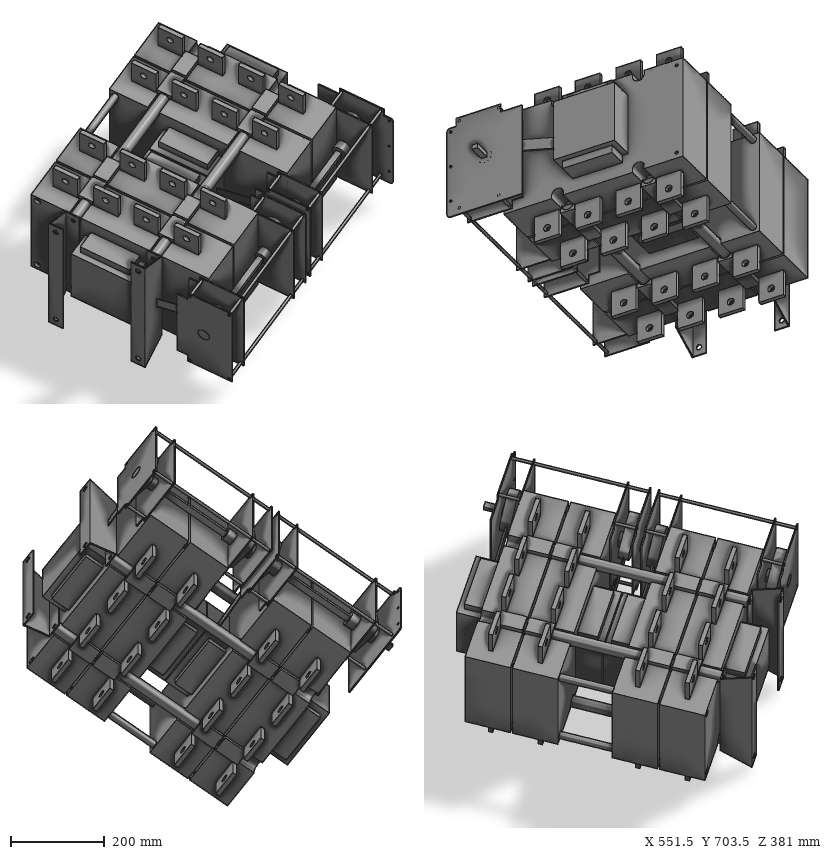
import cadquery as cq
import math

module_pitch = 327.0
module_offsets = (0, module_pitch)
module_front_y = 19.0
module_depth = 324.0
module_mid_y = module_front_y + module_depth / 2

pole_width = 441.0
pole_depth = 100.5
pole_height = 254.0
pole_gap = 5.0
pole_top_z = pole_height / 2
front_pole_y = module_mid_y - pole_gap / 2 - pole_depth
module_back_y = module_mid_y + pole_gap / 2 + pole_depth

terminal_width = 60.5
terminal_thickness = 10.0
terminal_height = 381.0
terminal_pitch = 100.0
terminal_count = 4
first_terminal_x = 60.0
terminal_front_y = 121.0
terminal_hole_z = 164.5
terminal_hole_diameter = 16.0

arc_box_x = 209.5
arc_box_width = 150.0
coil_width = 122.0
coil_depth = 45.0
coil_height = 187.0

tube_xs = (110.0, 309.0)
tube_z = 119.5
tube_diameter = 25.0
tube_start_y = 69.0
tube_end_y = 559.0
groove_width = 29.0
clip_width = 35.0
clip_top_z = 138.5
clip_recess = 3.5

tie_x = 15.5
tie_z = 112.5
tie_diameter = 16.0
tie_bore_diameter = 7.0
tie_recess = 7.0
spacer_x = pole_width - tie_x

bracket_left_xs = (90.0, 294.0)
bracket_width = 35.0
bracket_depth = 71.0
bracket_sheet = 3.0
bracket_front_height = 349.5
bracket_back_height = 277.0
bracket_hole_z = 155.0
bracket_hole_diameter = 13.0
tube_bolt_diameter = 10.5

shaft_x = 459.5
shaft_width = 14.0
shaft_height = 11.0
shaft_start_y = 28.0
overall_depth = 703.5
frame_left_x = 393.0
frame_right_x = 529.0
frame_step_x = 419.0
frame_half_height = 119.5
frame_step_z = 99.0
frame_thickness = 3.0
frame_outer_y = 26.0
frame_inner_y = 75.0
frame_rod_xs = (425.0, 522.0)
frame_rod_z = 112.5
frame_rod_diameter = 6.5
end_projection = 0.35
bushing_end_y = 99.0
bushing_diameters = (29.0, 34.0)
bushing_flange_diameter = 34.0
bushing_flange_thickness = 5.5
lever_start_y = 38.0
lever_thickness = 23.0
front_lever_corners = [(414.0, 29.5), (476.0, 60.0), (shaft_x, 0)]
front_lever_radius = 17.0
back_lever_corners = [(418.0, 25.0), (460.0, 53.5), (465.0, 0)]
back_lever_radius = 21.0
front_link_mid_y = 48.5
front_link_thickness = 2.0
back_link_mid_y = 310.0
back_link_thickness = 5.0
link_width = 27.0
link_angle = 15.0
link_start_x = 267.0
link_end_x = 411.5
link_axis_x = 285.0
link_axis_z = -11.0

rear_plate_left_x = 366.5
rear_plate_right_x = 551.5
rear_plate_bottom_z = -129.5
rear_corner_radius = 8.5
rear_hole_x = 542.5
rear_hole_pitch = 89.0
rear_hole_diameter = 5.5


def block(x0, x1, y0, y1, z0, z1):
    return cq.Workplane("XY").box(x1 - x0, y1 - y0, z1 - z0, centered=False).translate((x0, y0, z0))


def rod(x, z, diameter, y0, y1):
    return cq.Workplane("XZ", origin=(x, y0, z)).circle(diameter / 2).extrude(y0 - y1)


def plate(points, y0, thickness):
    return cq.Workplane("XZ", origin=(0, y0, 0)).polyline(points).close().extrude(-thickness)


def flip_y(y):
    """Mirror a Y position about the middle of the first module."""
    return 2 * module_mid_y - y


def pole():
    """Front pole of the first module, with its arc box, coil, blades, clips and grooves."""
    pole_end_y = front_pole_y + pole_depth
    body = block(0, pole_width, front_pole_y, pole_end_y, -pole_top_z, pole_top_z)
    for tube_x in tube_xs:
        for side in (-1, 1):
            body = body.cut(rod(tube_x, side * tube_z, groove_width, front_pole_y, pole_end_y))
            z_low, z_high = sorted((side * tube_z, side * pole_top_z))
            half_groove = groove_width / 2
            body = body.cut(
                block(tube_x - half_groove, tube_x + half_groove, front_pole_y, pole_end_y, z_low, z_high)
            )

    half_box = arc_box_width / 2
    half_coil = coil_width / 2
    body = body.union(
        block(arc_box_x - half_box, arc_box_x + half_box, module_front_y, front_pole_y,
              -half_box, half_box)
    )
    body = body.union(
        block(arc_box_x - half_coil, arc_box_x + half_coil, front_pole_y - coil_depth, front_pole_y,
              -coil_height / 2, coil_height / 2)
    )

    terminal_back_y = terminal_front_y + terminal_thickness
    for index in range(terminal_count):
        x = first_terminal_x + index * terminal_pitch
        blade = block(x - terminal_width / 2, x + terminal_width / 2, terminal_front_y, terminal_back_y,
                      -terminal_height / 2, terminal_height / 2)
        for side in (-1, 1):
            hole_z = side * terminal_hole_z
            blade = blade.cut(rod(x, hole_z, terminal_hole_diameter, terminal_front_y, terminal_back_y))
        body = body.union(blade)

    for tube_x in tube_xs:
        for side in (-1, 1):
            z_low, z_high = sorted((side * tube_z, side * clip_top_z))
            clip = block(tube_x - clip_width / 2, tube_x + clip_width / 2, terminal_front_y, pole_end_y,
                         z_low, z_high)
            recess_end_y = terminal_front_y + clip_recess
            clip = clip.cut(rod(tube_x, side * tube_z, groove_width, terminal_front_y, recess_end_y))
            body = body.union(clip)
    return body


def bracket(left_x, web_on_left):
    right_x = left_x + bracket_width
    web_x = left_x if web_on_left else right_x - bracket_sheet
    front_z = bracket_front_height / 2
    back_z = bracket_back_height / 2
    web = (
        cq.Workplane("YZ", origin=(web_x, 0, 0))
        .polyline([(0, -front_z), (0, front_z), (bracket_depth, back_z), (bracket_depth, -back_z)])
        .close()
        .extrude(bracket_sheet)
    )
    back_flange_y = bracket_depth - bracket_sheet
    front_flange = block(left_x, right_x, 0, bracket_sheet, -front_z, front_z)
    back_flange = block(left_x, right_x, back_flange_y, bracket_depth, -back_z, back_z)
    body = web.union(front_flange).union(back_flange)
    hole_x = left_x + bracket_width / 2
    for side in (-1, 1):
        body = body.cut(rod(hole_x, side * bracket_hole_z, bracket_hole_diameter, 0, bracket_sheet))
    return body


def frame_plate(y0):
    """Stepped sheet that carries the drive shaft."""
    outline = [
        (frame_left_x, -frame_step_z),
        (frame_left_x, frame_step_z),
        (frame_step_x, frame_step_z),
        (frame_step_x, frame_half_height),
        (frame_right_x, frame_half_height),
        (frame_right_x, -frame_half_height),
        (frame_step_x, -frame_half_height),
        (frame_step_x, -frame_step_z),
    ]
    return plate(outline, y0, frame_thickness)


def rear_plate(y0):
    y1 = y0 + frame_thickness
    wide = block(rear_plate_left_x, rear_plate_right_x, y0, y1, rear_plate_bottom_z, frame_step_z)
    wide = wide.edges("|Y and >X").fillet(rear_corner_radius)
    for step in (-1, 0, 1):
        wide = wide.cut(rod(rear_hole_x, step * rear_hole_pitch, rear_hole_diameter, y0, y1))
    return wide.union(frame_plate(y0))


def lever(y0, corner_centers, corner_radius):
    """Triangular cam plate with fully rounded corners."""
    outline = cq.Workplane("XZ", origin=(0, y0, 0)).polyline(corner_centers).close()
    return outline.offset2D(corner_radius, "arc").extrude(-lever_thickness)


def link(mid_y, thickness):
    """Sloping strip from an arc box to its lever."""
    slope = math.tan(math.radians(link_angle))
    half_rise = link_width / 2 / math.cos(math.radians(link_angle))
    start_z = link_axis_z + (link_start_x - link_axis_x) * slope
    end_z = link_axis_z + (link_end_x - link_axis_x) * slope
    outline = [
        (link_start_x, start_z - half_rise),
        (link_start_x, start_z + half_rise),
        (link_end_x, end_z + half_rise),
        (link_end_x, end_z - half_rise),
    ]
    return plate(outline, mid_y - thickness / 2, thickness)


def drive(bushing_diameter, rear_end_plate):
    """Frame plates, rods, bushings, levers and links of the first module."""
    outer_end_y = flip_y(frame_outer_y)
    inner_end_y = flip_y(frame_inner_y)
    last_plate_y = outer_end_y - frame_thickness
    front_y = frame_outer_y - end_projection
    body = frame_plate(frame_outer_y)
    body = body.union(frame_plate(frame_inner_y))
    body = body.union(frame_plate(inner_end_y - frame_thickness))
    body = body.union(rear_plate(last_plate_y) if rear_end_plate else frame_plate(last_plate_y))

    left_rod_x, right_rod_x = frame_rod_xs
    for side in (-1, 1):
        z = side * frame_rod_z
        body = body.union(rod(left_rod_x, z, frame_rod_diameter, front_y, frame_inner_y))
        body = body.union(rod(left_rod_x, z, frame_rod_diameter, inner_end_y, outer_end_y))
        body = body.union(rod(right_rod_x, z, frame_rod_diameter, front_y, outer_end_y))

    body = body.union(rod(shaft_x, 0, bushing_diameter, front_y, bushing_end_y))
    body = body.union(rod(shaft_x, 0, bushing_diameter, flip_y(bushing_end_y), outer_end_y))
    flange_start_y = last_plate_y - bushing_flange_thickness
    body = body.union(rod(shaft_x, 0, bushing_flange_diameter, flange_start_y, last_plate_y))

    back_lever_y = flip_y(lever_start_y) - lever_thickness
    body = body.union(lever(lever_start_y, front_lever_corners, front_lever_radius))
    body = body.union(lever(back_lever_y, back_lever_corners, back_lever_radius))
    body = body.union(link(front_link_mid_y, front_link_thickness))
    return body.union(link(back_link_mid_y, back_link_thickness))


front_pole = pole()
back_pole = front_pole.mirror("XZ", (0, module_mid_y, 0))
result = front_pole.union(back_pole)
for side in (-1, 1):
    gap_start_y = front_pole_y + pole_depth
    result = result.union(rod(spacer_x, side * tie_z, tie_diameter, gap_start_y, gap_start_y + pole_gap))
result = result.union(result.translate((0, module_pitch, 0)))

second_module_y = front_pole_y + module_pitch
stack_end_y = module_back_y + module_pitch
for side in (-1, 1):
    for tube_x in tube_xs:
        result = result.union(rod(tube_x, side * tube_z, tube_diameter, tube_start_y, tube_end_y))
    result = result.union(rod(tie_x, side * tie_z, tie_diameter, module_back_y, second_module_y))
    result = result.cut(rod(tie_x, side * tie_z, tie_bore_diameter, front_pole_y, stack_end_y))
    result = result.cut(rod(tie_x, side * tie_z, tie_diameter, front_pole_y, front_pole_y + tie_recess))

for left_x, web_on_left in zip(bracket_left_xs, (True, False)):
    result = result.union(bracket(left_x, web_on_left))
for tube_x in tube_xs:
    for side in (-1, 1):
        bolt_start_y = bracket_depth - bracket_sheet
        bolt_hole = rod(tube_x, side * tube_z, tube_bolt_diameter, bolt_start_y, bracket_depth)
        result = result.cut(bolt_hole)

for offset, bushing_diameter in zip(module_offsets, bushing_diameters):
    unit = drive(bushing_diameter, rear_end_plate=offset == module_pitch)
    result = result.union(unit.translate((0, offset, 0)))
half_shaft = shaft_width / 2
shaft = block(shaft_x - half_shaft, shaft_x + half_shaft, shaft_start_y, overall_depth,
              -shaft_height / 2, shaft_height / 2)
result = result.union(shaft)